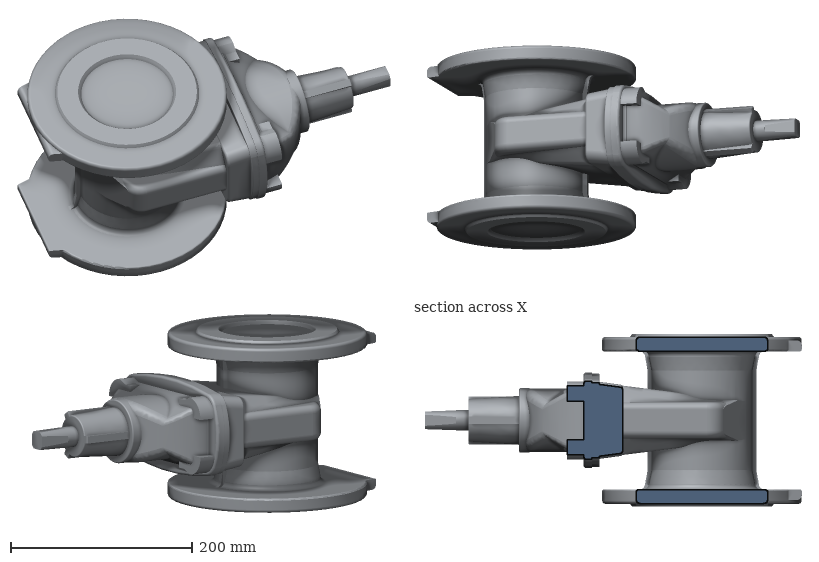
import math

import cadquery as cq


FACE_Z = 95.0
FLANGE_RADIUS = 110.0
FLANGE_THICKNESS = 19.0
RAISED_HEIGHT = 3.0
RAISED_RADIUS = 77.0
RAISED_FLARE = 2.5
FLANGE_FRONT_ROUND = 3.5
FLANGE_BACK_ROUND = 2.0
RECESS_RADIUS = 54.0
RECESS_FLOOR_RADIUS = 50.5
RECESS_DEPTH = 4.0
PIPE_RADIUS = 56.0
FLARE_START_Z = 55.0
FLARE_END_Z = 70.0
FLARE_RADIUS = 58.7
FLANGE_FRONT_Z = FACE_Z - RAISED_HEIGHT
FLANGE_BACK_Z = FACE_Z - FLANGE_THICKNESS

SEAM_HEIGHT = 4.0
SEAM_BASE_WIDTH = 10.0
SEAM_TOP_WIDTH = 5.0

FOOT_HALF_WIDTH = 51.0
FOOT_ROOT_HALF_WIDTH = 55.0
FOOT_ROOT_Y = -94.0
FOOT_HEIGHT = 12.0
FOOT_FRONT_ROUND = 5.5
FOOT_BACK_ROUND = 2.0

GUIDE_HALF_WIDTH = 82.0
GUIDE_HALF_DEPTH = 20.0
GUIDE_CORNER_RADIUS = 20.0
GUIDE_EDGE_ROUND = 8.0
GUIDE_TANGENT_ANGLE = 60.0
WEDGE_TOP_CROWN = 66.0
WEDGE_TOP_HALF_DEPTH = 41.5
WEDGE_LOW_Y = -48.0
WEDGE_LOW_CROWN = 42.0
WEDGE_LOW_FLANK = 70.0
WEDGE_LOW_HALF_DEPTH = 21.0
WEDGE_FLANK_HALF_DEPTH = 14.0
WEDGE_EDGE_ROUND = 8.0
BOX_HALF_WIDTH = 87.0
BOX_HALF_DEPTH = 42.5
BOX_BOTTOM_HALF_DEPTH = 39.0
BOX_BOTTOM_Y = 87.0
BOX_CORNER_RADIUS = 12.0
BOX_EDGE_ROUND = 3.0

JOINT_HALF_WIDTH = 97.0
JOINT_HALF_DEPTH = 53.0
JOINT_END_BULGE = 12.0
JOINT_SIDE_BULGE = 9.0
JOINT_CORNER_RADIUS = 18.0
JOINT_LOWER_Y = 113.0
JOINT_SPLIT_Y = 121.0
JOINT_UPPER_Y = 130.5
JOINT_LOWER_INSET = 1.0
JOINT_UPPER_ROUND = 3.0
JOINT_LOWER_ROUND = 1.0

STEP_Y = 134.0
STEP_HALF_WIDTH = 82.0
STEP_HALF_DEPTH = 39.0
STEP_CORNER_RADIUS = 14.0
BOSS_TOP_Y = 149.0
BOSS_X = 69.0
BOSS_Z = 21.0
BOSS_RADIUS = 22.0
LUG_START_X = 48.0
LUG_END_X = 59.0
LUG_Z = 38.5
DOME_RADIUS = 83.0
DOME_CENTRE_Y = 115.0
BARREL_EDGE_ROUND = 10.0
BARREL_RADIUS = 110.0
BARREL_HALF_DEPTH = 35.2
BARREL_HALF_WIDTH = 72.0
SKIRT_TIP_Y = 180.0
SKIRT_TIP_HALF_DEPTH = 14.0
SKIRT_BASE_HALF_DEPTH = 40.0
SKIRT_EDGE_ROUND = 6.0
COLLAR_RADIUS = 71.0 / 2
COLLAR_BOTTOM_Y = 190.0
COLLAR_TOP_Y = 201.5
COLLAR_ROUND = 1.5

POST_TOP_Y = 257.5
POST_BASE_RADIUS = 27.0
POST_TOP_RADIUS = 23.3
POST_RIB_RADIUS = 28.3
POST_RIB_WIDTH = 8.0
POST_RIB_ANGLES = (60, 180, 300)
POST_ROUND = 1.5
STEM_RADIUS = 23.0 / 2
STEM_END_Y = 305.0
SQUARE_START_Y = 271.0
SQUARE_START_SIDE = 21.9
SQUARE_END_SIDE = 19.5


def section(y):
    """Sketch plane square to the stem axis at height y; local axes are X and Z."""
    return cq.Workplane(cq.Plane((0, y, 0), xDir=(1, 0, 0), normal=(0, -1, 0)))


def slab(x_range, y_range, z_range):
    size = [high - low for low, high in (x_range, y_range, z_range)]
    start = (x_range[0], y_range[0], z_range[0])
    return cq.Workplane("XY").box(*size, centered=False).translate(start)


def neck(offset=0.0):
    """Pipe that flares into both flanges, grown outwards by offset."""
    root = FLANGE_BACK_Z - FLARE_END_Z
    flare = FLARE_RADIUS + offset
    mid_shift = root * (1 - math.sqrt(0.5))
    mid_z = FLARE_END_Z + root * math.sqrt(0.5)
    return (
        cq.Workplane("XZ")
        .moveTo(0, -FLANGE_BACK_Z)
        .lineTo(flare + root, -FLANGE_BACK_Z)
        .threePointArc((flare + mid_shift, -mid_z), (flare, -FLARE_END_Z))
        .lineTo(PIPE_RADIUS + offset, -FLARE_START_Z)
        .lineTo(PIPE_RADIUS + offset, FLARE_START_Z)
        .lineTo(flare, FLARE_END_Z)
        .threePointArc((flare + mid_shift, mid_z), (flare + root, FLANGE_BACK_Z))
        .lineTo(0, FLANGE_BACK_Z)
        .close()
        .revolve(360, (0, 0, 0), (0, 1, 0))
    )


def seam_ribs():
    """Two trapezoidal ribs that follow the pipe contour at -Y and +Y."""
    top_y = PIPE_RADIUS + SEAM_HEIGHT
    slope = (SEAM_BASE_WIDTH - SEAM_TOP_WIDTH) / 2 / SEAM_HEIGHT
    reach = FLARE_RADIUS + FLANGE_BACK_Z - FLARE_END_Z + SEAM_HEIGHT
    half_top = SEAM_TOP_WIDTH / 2
    half_root = half_top + slope * top_y
    wedge = (
        cq.Workplane("XY")
        .workplane(offset=-FLANGE_BACK_Z)
        .polyline([(-half_root, 0), (half_root, 0), (half_top, top_y), (half_top, reach),
                   (-half_top, reach), (-half_top, top_y)])
        .close()
        .extrude(2 * FLANGE_BACK_Z)
    )
    ribs = wedge.union(wedge.mirror("XZ"))
    return neck(SEAM_HEIGHT).intersect(ribs)


def upper_flange():
    disc = (
        cq.Workplane("XY")
        .workplane(offset=FLANGE_BACK_Z)
        .circle(FLANGE_RADIUS)
        .extrude(FLANGE_FRONT_Z - FLANGE_BACK_Z)
    )
    disc = disc.faces(">Z").edges().fillet(FLANGE_FRONT_ROUND)
    disc = disc.faces("<Z").edges().fillet(FLANGE_BACK_ROUND)
    raised = (
        cq.Workplane("XZ")
        .polyline([(0, FLANGE_FRONT_Z), (RAISED_RADIUS + RAISED_FLARE, FLANGE_FRONT_Z),
                   (RAISED_RADIUS, FACE_Z), (0, FACE_Z)])
        .close()
        .revolve(360, (0, 0, 0), (0, 1, 0))
    )
    recess = (
        cq.Workplane("XZ")
        .polyline([(0, FACE_Z - RECESS_DEPTH), (RECESS_FLOOR_RADIUS, FACE_Z - RECESS_DEPTH),
                   (RECESS_RADIUS, FACE_Z), (0, FACE_Z)])
        .close()
        .revolve(360, (0, 0, 0), (0, 1, 0))
    )
    foot = (
        cq.Workplane("XY")
        .workplane(offset=FLANGE_BACK_Z)
        .polyline([(-FOOT_ROOT_HALF_WIDTH, FOOT_ROOT_Y), (-FOOT_HALF_WIDTH, -FLANGE_RADIUS),
                   (FOOT_HALF_WIDTH, -FLANGE_RADIUS), (FOOT_ROOT_HALF_WIDTH, FOOT_ROOT_Y)])
        .close()
        .extrude(FOOT_HEIGHT)
    )
    foot = foot.faces("<Y").edges(">Z").fillet(FOOT_FRONT_ROUND)
    foot = foot.faces("<Y").edges("<Z").fillet(FOOT_BACK_ROUND)
    return disc.union(raised).union(foot).cut(recess)


def guide_outline(depth):
    """Housing outline in XY, its lower sides tangent to the pipe, extruded to +-depth."""
    angle = math.radians(GUIDE_TANGENT_ANGLE)
    touch_x = PIPE_RADIUS * math.cos(angle)
    touch_y = -PIPE_RADIUS * math.sin(angle)
    corner_y = touch_y + (GUIDE_HALF_WIDTH - touch_x) / math.tan(angle)
    outline = (
        cq.Workplane("XY")
        .workplane(offset=-depth)
        .polyline([(-touch_x, touch_y), (touch_x, touch_y), (GUIDE_HALF_WIDTH, corner_y),
                   (GUIDE_HALF_WIDTH, JOINT_LOWER_Y), (-GUIDE_HALF_WIDTH, JOINT_LOWER_Y),
                   (-GUIDE_HALF_WIDTH, corner_y)])
        .close()
        .extrude(2 * depth)
    )
    corners = cq.selectors.BoxSelector(
        (-2 * GUIDE_HALF_WIDTH, corner_y - 1, -depth),
        (2 * GUIDE_HALF_WIDTH, corner_y + 1, depth),
    )
    return outline.edges("|Z").edges(corners).fillet(GUIDE_CORNER_RADIUS)


def gate_guides():
    guides = guide_outline(GUIDE_HALF_DEPTH)
    return guides.faces("|Z").edges("not <Y").edges("not >Y").fillet(GUIDE_EDGE_ROUND)


def wedge_body():
    """Tapered shell between the guides, deep at the box and shallow below the pipe axis."""
    def outline(y, crown, flank, depth):
        quarter = [(flank, WEDGE_FLANK_HALF_DEPTH), (crown, depth)]
        upper = quarter + [(-x, z) for x, z in reversed(quarter)]
        lower = [(-x, -z) for x, z in upper]
        return cq.Wire.makePolygon([cq.Vector(x, y, z) for x, z in upper + lower], close=True)

    wires = [
        outline(JOINT_LOWER_Y, WEDGE_TOP_CROWN, GUIDE_HALF_WIDTH, WEDGE_TOP_HALF_DEPTH),
        outline(WEDGE_LOW_Y, WEDGE_LOW_CROWN, WEDGE_LOW_FLANK, WEDGE_LOW_HALF_DEPTH),
    ]
    body = cq.Workplane(obj=cq.Solid.makeLoft(wires, True))
    body = body.edges("not(>Y or <Y)").fillet(WEDGE_EDGE_ROUND)
    return body.intersect(guide_outline(WEDGE_TOP_HALF_DEPTH))


def housing_box():
    """Box under the joint; its broad faces taper, its ends are straight."""
    top, low = BOX_HALF_DEPTH, BOX_BOTTOM_HALF_DEPTH
    box = (
        cq.Workplane("YZ")
        .workplane(offset=-BOX_HALF_WIDTH)
        .polyline([(BOX_BOTTOM_Y, -low), (JOINT_LOWER_Y, -top),
                   (JOINT_LOWER_Y, top), (BOX_BOTTOM_Y, low)])
        .close()
        .extrude(2 * BOX_HALF_WIDTH)
    )
    box = box.faces("|X").edges("not |Z").fillet(BOX_CORNER_RADIUS)
    return box.faces("<Y").edges().fillet(BOX_EDGE_ROUND)


def joint_layer(low_y, high_y, inset=0.0):
    """Rounded rectangle with four bulged sides."""
    half_width = JOINT_HALF_WIDTH - inset
    half_depth = JOINT_HALF_DEPTH - inset
    x, z = half_width - JOINT_END_BULGE, half_depth - JOINT_SIDE_BULGE
    layer = (
        section(high_y)
        .moveTo(x, -z)
        .threePointArc((half_width, 0), (x, z))
        .threePointArc((0, half_depth), (-x, z))
        .threePointArc((-half_width, 0), (-x, -z))
        .threePointArc((0, -half_depth), (x, -z))
        .close()
        .extrude(high_y - low_y)
    )
    return layer.edges("|Y").fillet(JOINT_CORNER_RADIUS)


def joint():
    lower = joint_layer(JOINT_LOWER_Y, JOINT_SPLIT_Y, JOINT_LOWER_INSET)
    lower = lower.faces("<Y").edges().fillet(JOINT_LOWER_ROUND)
    upper = joint_layer(JOINT_SPLIT_Y, JOINT_UPPER_Y)
    upper = upper.faces(">Y").edges().fillet(JOINT_UPPER_ROUND)
    step = (
        section(STEP_Y)
        .rect(2 * STEP_HALF_WIDTH, 2 * STEP_HALF_DEPTH)
        .extrude(STEP_Y - JOINT_SPLIT_Y)
        .edges("|Y")
        .fillet(STEP_CORNER_RADIUS)
    )
    return lower.union(upper).union(step)


def four_corners(shape):
    """The shape and its mirror images across the YZ and XY planes."""
    pair = shape.union(shape.mirror("YZ"))
    return pair.union(pair.mirror("XY"))


def bolt_bosses():
    """Boss with a quarter-round outer corner and a lower inner lug, at each bonnet corner."""
    mid = BOSS_RADIUS * math.sqrt(0.5)
    boss = (
        section(BOSS_TOP_Y)
        .moveTo(LUG_START_X, BOSS_Z)
        .lineTo(BOSS_X + BOSS_RADIUS, BOSS_Z)
        .threePointArc((BOSS_X + mid, BOSS_Z + mid), (BOSS_X, BOSS_Z + BOSS_RADIUS))
        .lineTo(LUG_END_X, LUG_Z)
        .lineTo(LUG_START_X, LUG_Z)
        .close()
        .extrude(BOSS_TOP_Y - JOINT_SPLIT_Y)
    )
    return four_corners(boss)


def bonnet_disc(half_depth):
    return (
        cq.Workplane("XY")
        .workplane(offset=-half_depth)
        .center(0, DOME_CENTRE_Y)
        .circle(DOME_RADIUS)
        .extrude(2 * half_depth)
        .intersect(slab((-DOME_RADIUS, DOME_RADIUS), (JOINT_SPLIT_Y, DOME_CENTRE_Y + DOME_RADIUS),
                        (-half_depth, half_depth)))
    )


def bonnet_barrel():
    """Lens-shaped crown running along Y, trimmed to the round bonnet profile."""
    tip_x = BARREL_HALF_WIDTH
    tip_z = BARREL_HALF_DEPTH - BARREL_RADIUS + math.sqrt(BARREL_RADIUS**2 - tip_x**2)
    lens = (
        section(COLLAR_TOP_Y)
        .moveTo(tip_x, -tip_z)
        .lineTo(tip_x, tip_z)
        .threePointArc((0, BARREL_HALF_DEPTH), (-tip_x, tip_z))
        .lineTo(-tip_x, -tip_z)
        .threePointArc((0, -BARREL_HALF_DEPTH), (tip_x, -tip_z))
        .close()
        .extrude(COLLAR_TOP_Y - JOINT_SPLIT_Y)
    )
    barrel = bonnet_disc(BARREL_HALF_DEPTH + 1).intersect(lens)
    rim = cq.selectors.BoxSelector((-1, DOME_CENTRE_Y + DOME_RADIUS / 2, -tip_x), (1, COLLAR_TOP_Y, tip_x))
    return barrel.edges(rim).fillet(BARREL_EDGE_ROUND)


def bonnet_skirt():
    """Wedge that rises from the bonnet flange and thins towards the stem."""
    base, tip = SKIRT_BASE_HALF_DEPTH, SKIRT_TIP_HALF_DEPTH
    wedge = (
        cq.Workplane("YZ")
        .workplane(offset=-DOME_RADIUS)
        .polyline([(STEP_Y, -base), (SKIRT_TIP_Y, -tip), (SKIRT_TIP_Y, tip), (STEP_Y, base)])
        .close()
        .extrude(2 * DOME_RADIUS)
    )
    skirt = bonnet_disc(base).intersect(wedge)
    rim = cq.selectors.BoxSelector((-2 * base, STEP_Y + 1, -base), (2 * base, SKIRT_TIP_Y - 1, base))
    return skirt.edges(rim).edges("%ELLIPSE").fillet(SKIRT_EDGE_ROUND)


def collar():
    ring = section(COLLAR_TOP_Y).circle(COLLAR_RADIUS).extrude(COLLAR_TOP_Y - COLLAR_BOTTOM_Y)
    return ring.faces(">Y").edges().fillet(COLLAR_ROUND)


def gland_post():
    post = (
        cq.Workplane("XY")
        .polyline([(0, COLLAR_BOTTOM_Y), (POST_BASE_RADIUS, COLLAR_BOTTOM_Y),
                   (POST_BASE_RADIUS, COLLAR_TOP_Y), (POST_TOP_RADIUS, POST_TOP_Y), (0, POST_TOP_Y)])
        .close()
        .revolve(360, (0, 0, 0), (0, 1, 0))
    )
    post = post.faces(">Y").edges().fillet(POST_ROUND)
    half_rib = POST_RIB_WIDTH / 2
    rib = slab((0, POST_RIB_RADIUS), (COLLAR_BOTTOM_Y, POST_TOP_Y), (-half_rib, half_rib))
    rib = rib.edges(">X and >Y").fillet(POST_ROUND)
    for angle in POST_RIB_ANGLES:
        post = post.union(rib.rotate((0, 0, 0), (0, 1, 0), -angle))
    return post


def stem():
    """Round spindle with a tapered square end."""
    shaft = section(STEM_END_Y).circle(STEM_RADIUS).extrude(STEM_END_Y - COLLAR_TOP_Y)
    start, end = SQUARE_START_SIDE / 2, SQUARE_END_SIDE / 2
    for angle in (0, 90, 180, 270):
        flat = (
            cq.Workplane("XY")
            .workplane(offset=-STEM_RADIUS)
            .polyline([(start, SQUARE_START_Y), (2 * STEM_RADIUS, SQUARE_START_Y),
                       (2 * STEM_RADIUS, STEM_END_Y), (end, STEM_END_Y)])
            .close()
            .extrude(2 * STEM_RADIUS)
        )
        shaft = shaft.cut(flat.rotate((0, 0, 0), (0, 1, 0), angle))
    return shaft


def both_flanges():
    flange = upper_flange()
    return flange.union(flange.mirror("XY"))


def valve():
    body = neck().union(seam_ribs()).union(both_flanges())
    for feature in (gate_guides(), wedge_body(), housing_box(), joint()):
        body = body.union(feature)
    bonnet = bonnet_skirt()
    for feature in (bonnet_barrel(), bolt_bosses(), collar(), gland_post(), stem()):
        bonnet = bonnet.union(feature)
    return body.union(bonnet)


result = valve()